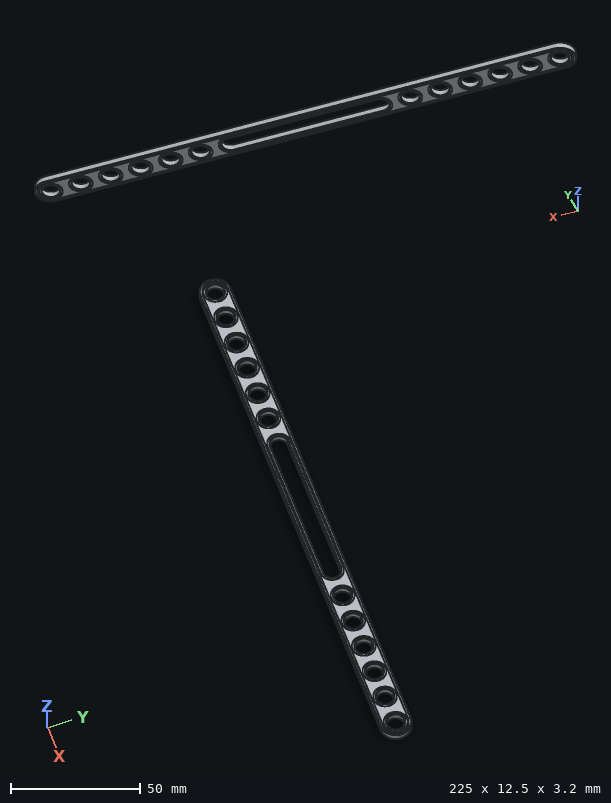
import cadquery as cq

length = 225.0
thickness = 3.2
pitches_in_length = 18
holes_per_end = 6
hole_diameter = 7.0
rim_diameter = 9.2
edge_chamfer = 0.3
recess_depth = 0.2

pitch = length / pitches_in_length
width = pitch
rim_width = (rim_diameter - hole_diameter) / 2
end_hole_x = (length - width) / 2
slot_end_x = end_hole_x - holes_per_end * pitch
slot_length = 2 * slot_end_x + hole_diameter
hole_row = [end_hole_x - i * pitch for i in range(holes_per_end)]
hole_centres = [(side * x, 0) for side in (-1, 1) for x in hole_row]


def outline(offset, height):
    """Solid of the bar's outline, grown outward by offset, centred on the origin."""
    return cq.Workplane("XY").slot2D(length + 2 * offset, width + 2 * offset).extrude(height / 2, both=True)


def openings(offset, height):
    """Solids of all holes and the central slot, grown outward by offset."""
    holes = cq.Workplane("XY").pushPoints(hole_centres).circle(hole_diameter / 2 + offset)
    slot = cq.Workplane("XY").slot2D(slot_length + 2 * offset, hole_diameter + 2 * offset)
    return holes.extrude(height / 2, both=True).union(slot.extrude(height / 2, both=True))


def make_perforated_bar():
    """Bar with its openings, every edge of both flat faces chamfered."""
    bar = outline(0, thickness).cut(openings(0, thickness))
    return bar.faces("|Z").edges().chamfer(edge_chamfer)


def make_recess():
    """Sunken field inside the raised rims that follow the outline and the openings."""
    return outline(-rim_width, 2 * recess_depth).cut(openings(rim_width, 2 * recess_depth))


recess = make_recess()
result = make_perforated_bar()
for face_z in (-thickness / 2, thickness / 2):
    result = result.cut(recess.translate((0, 0, face_z)))